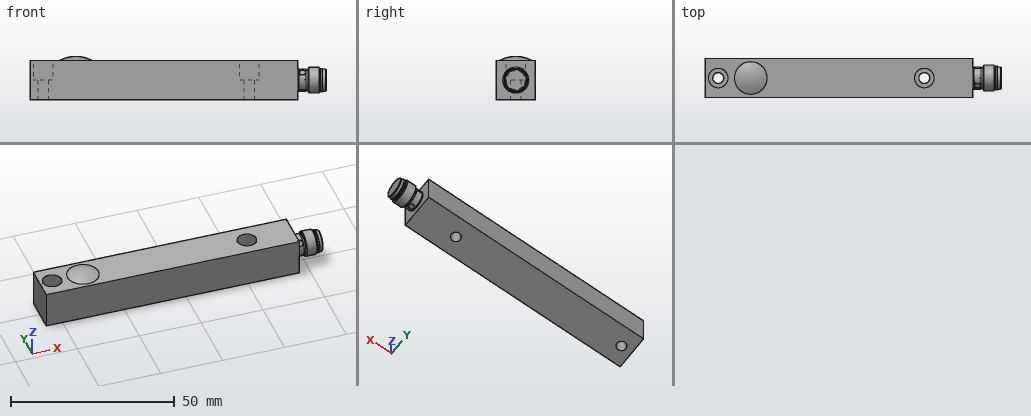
import cadquery as cq

total_length = 90.5
body_length = 81.8
body_side = 12.0
axis_height = body_side / 2

dome_x = 13.9
dome_diameter = 10
dome_height = 1.3

first_hole_x = 4.0
hole_spacing = 63.0
hole_centres = [(first_hole_x, 0), (first_hole_x + hole_spacing, 0)]
hole_diameter = 3.3
counterbore_diameter = 6.0
counterbore_depth = 6.0

neck_groove_diameter = 6.4
neck_diameter = 6.9
collar_edge_diameter = 7.2
collar_diameter = 8.0
tip_groove_diameter = 5.8
rib_diameter = 7.2
nose_diameter = 6.9
tip_diameter = 6.4

root_groove_length = 0.4
neck_length = 2.2
neck_groove_length = 0.5
collar_chamfer_length = 0.3
collar_length = 3.6
tip_groove_length = 0.4
rib_length = 0.45
tip_chamfer_length = 0.3

window_diameter = 2.0
window_floor_radius = 3.3
first_window_angle = 45
window_count = 3


def make_body():
    return cq.Workplane("XY").box(body_length, body_side, body_side, centered=(False, True, False))


def make_dome():
    base_radius = dome_diameter / 2
    sphere_radius = (base_radius**2 + dome_height**2) / (2 * dome_height)
    half_section = (
        cq.Workplane("XZ", origin=(dome_x, 0, body_side + dome_height - sphere_radius))
        .moveTo(0, 0)
        .lineTo(base_radius, sphere_radius - dome_height)
        .radiusArc((0, sphere_radius), -sphere_radius)
        .close()
    )
    return half_section.revolve(360, (0, 0, 0), (0, 1, 0))


def make_hole_cutters():
    top_centres = cq.Workplane("XY", origin=(0, 0, body_side)).pushPoints(hole_centres)
    through_holes = top_centres.circle(hole_diameter / 2).extrude(-body_side)
    counterbores = top_centres.circle(counterbore_diameter / 2).extrude(-counterbore_depth)
    return through_holes.union(counterbores)


def make_connector():
    neck_start = body_length + root_groove_length
    neck_end = neck_start + neck_length
    collar_start = neck_end + neck_groove_length
    collar_end = collar_start + collar_length
    rib_start = collar_end + tip_groove_length
    rib_end = rib_start + rib_length
    stations = (
        (body_length, neck_groove_diameter),
        (neck_start, neck_groove_diameter),
        (neck_start, neck_diameter),
        (neck_end, neck_diameter),
        (neck_end, neck_groove_diameter),
        (collar_start, neck_groove_diameter),
        (collar_start, collar_edge_diameter),
        (collar_start + collar_chamfer_length, collar_diameter),
        (collar_end - collar_chamfer_length, collar_diameter),
        (collar_end, collar_edge_diameter),
        (collar_end, tip_groove_diameter),
        (rib_start, tip_groove_diameter),
        (rib_start, rib_diameter),
        (rib_end, rib_diameter),
        (rib_end, nose_diameter),
        (total_length - tip_chamfer_length, nose_diameter),
        (total_length, tip_diameter),
    )
    outline = [(x, diameter / 2) for x, diameter in stations]
    half_section = (
        cq.Workplane("XY", origin=(0, 0, axis_height))
        .polyline([(body_length, 0), *outline, (total_length, 0)])
        .close()
    )
    connector = half_section.revolve(360, (0, 0, 0), (1, 0, 0))
    for index in range(window_count):
        angle = first_window_angle + index * 360 / window_count
        connector = connector.cut(make_window_cutter(angle))
    return connector


def make_window_cutter(angle):
    window_x = body_length + root_groove_length + neck_length / 2
    return (
        cq.Workplane("XY", origin=(window_x, 0, window_floor_radius))
        .circle(window_diameter / 2)
        .extrude(neck_diameter / 2)
        .rotate((0, 0, 0), (1, 0, 0), angle)
        .translate((0, 0, axis_height))
    )


result = make_body().union(make_dome()).cut(make_hole_cutters()).union(make_connector())